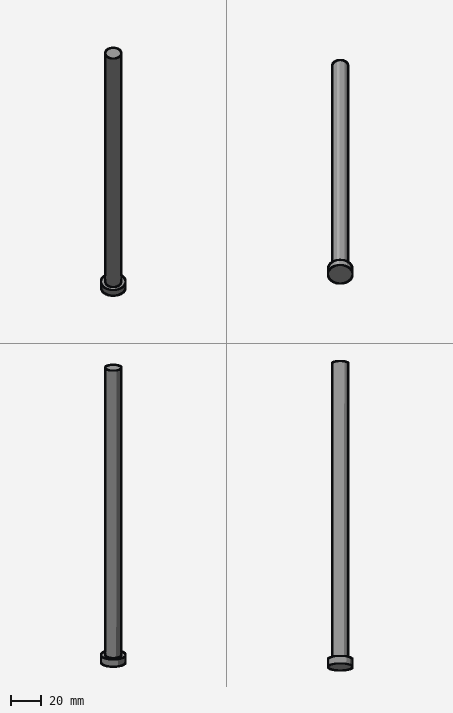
import cadquery as cq

total_length = 205.0
head_diameter = 16.0
head_height = 5.1
shank_diameter = 10.5

head_bottom = -total_length / 2

head = (
    cq.Workplane("XY")
    .workplane(offset=head_bottom)
    .circle(head_diameter / 2)
    .extrude(head_height)
)

result = (
    head.faces(">Z")
    .workplane()
    .circle(shank_diameter / 2)
    .extrude(total_length - head_height)
)